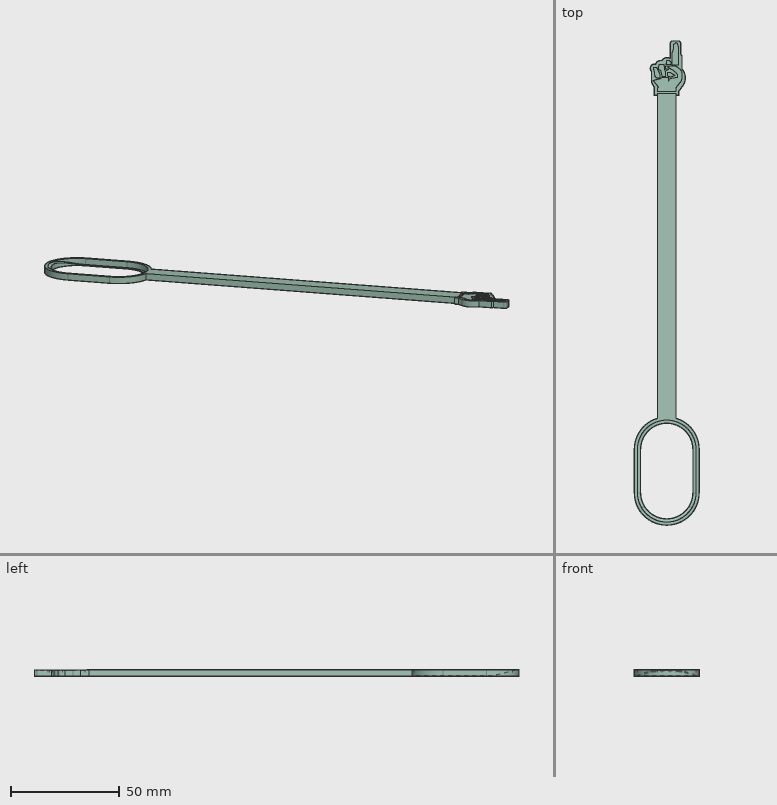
import cadquery as cq
import math

TOTAL_LENGTH = 223.33
THICKNESS = 3.04
TIP_Y = TOTAL_LENGTH / 2
TAIL_Y = -TOTAL_LENGTH / 2

RING_WIDTH = 30.0
RING_LENGTH = 50.0
RIM_WIDTH = 1.5
LEDGE_WIDTH = 1.5
LEDGE_HEIGHT = 0.3
RING_CENTER_Y = TAIL_Y + RING_LENGTH / 2
TAIL_ARC_Y = TAIL_Y + RING_WIDTH / 2

RAMP_ANGLE = 14.5
RAMP_ARC_LENGTH = 6.5

ARM_WIDTH = 8.75
WRIST_OVERLAP = 0.9
ARM_START_Y = TAIL_Y + RING_LENGTH - RIM_WIDTH / 2

HAND_LENGTH = 25.2
HAND_THICKNESS = 3.0
PIT_DEPTH = 0.4
WRIST_Y = TIP_Y - HAND_LENGTH
ARM_END_Y = WRIST_Y + WRIST_OVERLAP

OUTLINE_START = (-5.8, 0.0)
OUTLINE_STEPS = [
    [(-5.8, 3.9)],
    [(-6.8, 5.6), (-7.1, 7.5)],
    [(-7.1, 11.2)],
    [(-7.6, 12.9), (-5.2, 14.4)],
    [(-4.2, 15.7), (-2.2, 16.1)],
    [(-0.8, 17.3), (1.6, 17.0)],
    [(1.6, 24.0)],
    [(1.95, 24.85), (2.8, HAND_LENGTH)],
    [(5.3, HAND_LENGTH)],
    [(6.15, 24.85), (6.5, 24.0)],
    [(6.5, 19.0)],
    [(7.1, 18.2)],
    [(7.1, 12.2)],
    [(8.6, 8.5), (7.1, 4.0)],
    [(5.6, 1.9)],
    [(5.6, 0.0)],
]

INDEX_PIT = [
    (2.4, 13.95), (2.4, 19.4), (3.1, 21.5), (3.2, 23.5), (4.2, 24.3), (4.8, 24.2), (5.5, 22.1), (5.5, 13.95),
]
MIDDLE_TIP_PIT = [(-0.3, 14.3), (0.0, 16.1), (1.1, 16.2), (1.9, 15.4), (1.9, 14.3)]
MIDDLE_PIT = [(-0.9, 13.65), (0.4, 13.65), (0.7, 12.0), (-0.1, 11.6)]
RING_FINGER_PIT = [
    (-3.5, 14.2), (-1.2, 14.2), (-1.1, 12.4), (-0.5, 10.7), (-0.5, 8.7), (-2.1, 8.7), (-2.8, 11.4),
    (-4.0, 12.2),
]
LITTLE_FINGER_PIT = [
    (-6.2, 12.8), (-4.6, 12.8), (-3.9, 11.4), (-3.2, 10.0), (-3.2, 8.0), (-4.7, 8.0), (-5.5, 9.0),
    (-5.7, 10.7),
]
THUMB_PIT = [(0.3, 10.5), (1.7, 10.5), (3.9, 9.2), (1.7, 8.5), (0.5, 8.9)]
PALM_PIT = [
    (-4.3, 1.75), (-4.3, 3.3), (-3.9, 3.8), (-4.7, 5.0), (-6.3, 6.9), (-3.4, 7.6), (-2.0, 8.3), (0.8, 8.3),
    (0.9, 6.7), (1.1, 7.5), (2.7, 8.1), (4.9, 8.2), (4.9, 9.7), (4.0, 10.7), (2.7, 11.8), (1.1, 12.6),
    (1.1, 13.65), (4.0, 13.65), (5.2, 12.8), (6.3, 12.0), (7.0, 10.7), (7.0, 7.7), (6.4, 6.2), (5.5, 5.2),
    (4.3, 3.6), (4.3, 1.75),
]
HAND_PITS = [
    INDEX_PIT, MIDDLE_TIP_PIT, MIDDLE_PIT, RING_FINGER_PIT, LITTLE_FINGER_PIT, THUMB_PIT, PALM_PIT,
]


def ring_oval(inset):
    """Full-thickness oval, set in from the outside of the ring."""
    return (
        cq.Workplane("XY")
        .center(0, RING_CENTER_Y)
        .slot2D(RING_LENGTH - 2 * inset, RING_WIDTH - 2 * inset, 90)
        .extrude(THICKNESS)
    )


def ledge_body():
    """Material kept below the ledge surface: flat at first, climbing past the tail arc's center."""
    head_y = TAIL_Y + RING_LENGTH
    full = math.radians(RAMP_ANGLE)
    half = full / 2
    radius = RAMP_ARC_LENGTH / math.sin(full)
    arc_middle = (TAIL_ARC_Y - radius * math.sin(half), LEDGE_HEIGHT + radius * (1 - math.cos(half)))
    arc_end = (TAIL_ARC_Y - RAMP_ARC_LENGTH, LEDGE_HEIGHT + radius * (1 - math.cos(full)))
    ramp_top = (TAIL_Y, arc_end[1] + (arc_end[0] - TAIL_Y) * math.tan(full))
    return (
        cq.Workplane("YZ")
        .moveTo(head_y, 0)
        .lineTo(head_y, LEDGE_HEIGHT)
        .lineTo(TAIL_ARC_Y, LEDGE_HEIGHT)
        .threePointArc(arc_middle, arc_end)
        .lineTo(*ramp_top)
        .lineTo(TAIL_Y, 0)
        .close()
        .extrude(RING_WIDTH / 2, both=True)
    )


def ring():
    rim = ring_oval(0)
    pocket = ring_oval(RIM_WIDTH).cut(ledge_body())
    hole = ring_oval(RIM_WIDTH + LEDGE_WIDTH)
    return rim.cut(pocket).cut(hole)


def arm():
    length = ARM_END_Y - ARM_START_Y
    return (
        cq.Workplane("XY")
        .center(0, (ARM_START_Y + ARM_END_Y) / 2)
        .rect(ARM_WIDTH, length)
        .extrude(THICKNESS)
    )


def hand_outline():
    outline = cq.Workplane("XY", origin=(0, WRIST_Y, 0)).moveTo(*OUTLINE_START)
    for step in OUTLINE_STEPS:
        if len(step) == 1:
            outline = outline.lineTo(*step[0])
        else:
            outline = outline.threePointArc(*step)
    return outline.close()


def hand():
    body = hand_outline().extrude(HAND_THICKNESS)
    pit_floor = cq.Workplane("XY", origin=(0, WRIST_Y, HAND_THICKNESS - PIT_DEPTH))
    for corners in HAND_PITS:
        body = body.cut(pit_floor.polyline(corners).close().extrude(PIT_DEPTH))
    return body


result = ring().union(arm()).union(hand()).clean()